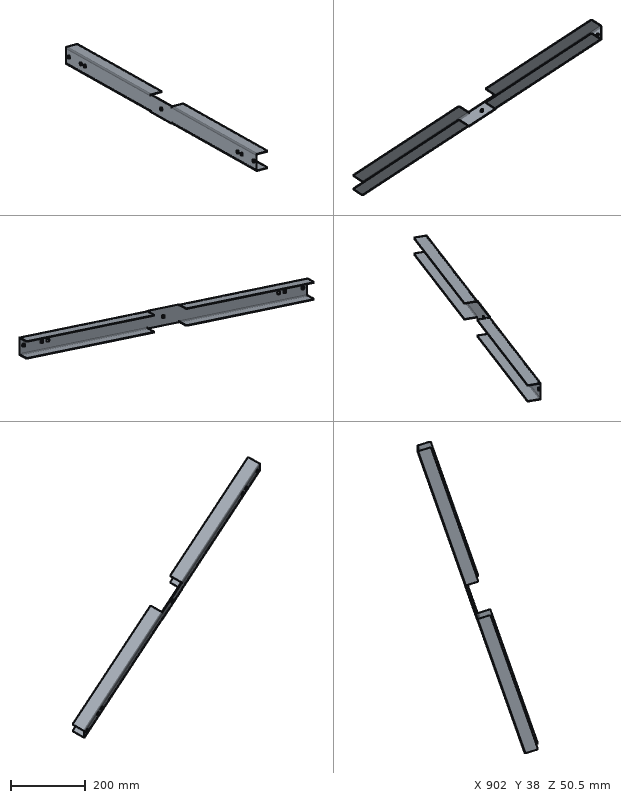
import cadquery as cq

length = 902.0
depth = 38.0
height = 50.5
thickness = 2.5
inner_bend = 1.0
outer_bend = inner_bend + thickness

gap_length = 100.0
corner_radius = 3.0

hole_diameter = 9.0
hole_offsets = (362.0, 380.5, 437.0)


def bar_along_x(bar_length, bar_depth, bar_height, front=0):
    """Bar centered in X and Z whose -Y face lies at Y = front."""
    bar = cq.Workplane("XY").box(bar_length, bar_depth, bar_height)
    return bar.translate((0, front + bar_depth / 2, 0))


def make_channel():
    outer = bar_along_x(length, depth, height).edges("|X and <Y").fillet(outer_bend)
    inner = bar_along_x(length, depth, height - 2 * thickness, front=thickness)
    inner = inner.edges("|X and <Y").fillet(inner_bend)
    return outer.cut(inner)


def flatten_gap(body):
    gap = bar_along_x(gap_length, depth, height)
    flat_web = bar_along_x(gap_length, thickness, height)
    return body.cut(gap).union(flat_web)


def round_flange_corners(body):
    return body.edges("|Z and >Y").fillet(corner_radius)


def cut_web_holes(body):
    mirrored = [side * x for side in (-1, 1) for x in hole_offsets]
    places = [(x, 0) for x in [0, *mirrored]]
    cutters = cq.Workplane("XZ").pushPoints(places).circle(hole_diameter / 2)
    return body.cut(cutters.extrude(-thickness))


channel = flatten_gap(make_channel())
result = cut_web_holes(round_flange_corners(channel))